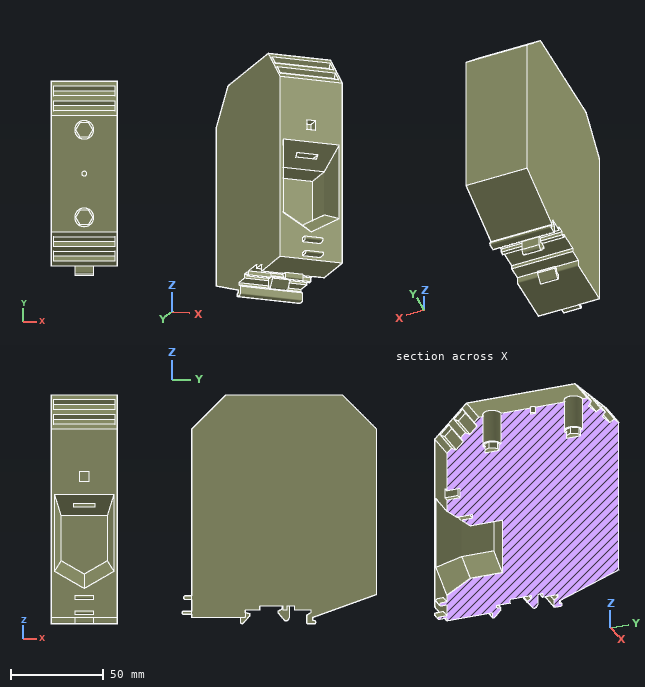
import cadquery as cq

WIDTH = 36.0
DEPTH = 100.0
HEIGHT = 123.9
CHAMFER = 18.5
UNDERSIDE_Z = 3.5
BACK_CORNER_Z = 15.9

RAIL_SEAT_Z = 7.4
RAIL_SEAT_FRONT = 29.1
RAIL_SEAT_BACK = 64.5
RELIEF_Z = 9.7
RELIEF_FRONT = 36.9
RELIEF_BACK = 55.6
SEAT_EDGE_RADIUS = 0.7

HOOK_FRONT = 62.2
HOOK_SHOULDER_Z = 4.8
HOOK_UNDERCUT_Z = 6.2
HOOK_NECK = 65.5
HOOK_NECK_Z = 2.0
HOOK_TOE = 67.2
HOOK_TOE_RADIUS = 1.0
HOOK_EDGE_RADIUS = 0.7

LATCH_WIDTH = 10.2
MIDDLE_LATCH_BACK = 53.0
MIDDLE_LATCH_FRONT = 49.0
MIDDLE_BARB_POINT = 46.6
FRONT_LATCH_FRONT = 26.4
FRONT_BARB_POINT = 31.5
RIB_FRONT = 49.3
RIB_BACK = 51.5

SLOT_MARGIN = 1.2
SLOT_HEIGHT = 7.3
SLOT_PITCH = 11.3
SLOT_FIRST_EDGE = 3.7
SLOT_DEPTH = 3.0
SLOT_TAPER = 0.7
SLOT_COUNT = 2

SCREW_SPACING = 47.3
SCREW_HOLE_DIAMETER = 10.2
SCREW_HOLE_DEPTH = 18.6
HEX_CORNER_DIAMETER = 9.2
HEX_DEPTH = 3.7
INDICATOR_DIAMETER = 2.6
INDICATOR_DEPTH = 3.7

WINDOW_WIDTH = 5.1
WINDOW_HEIGHT = 5.3
WINDOW_Z = 79.8
WINDOW_DEPTH = 7.4

TAPER_DEPTH = 13.6
SOCKET_DEPTH = 32.2
MOUTH_HALF_WIDTH = 16.1
MOUTH_TOP, MOUTH_CORNER, MOUTH_TIP = 70.1, 28.5, 19.2
BORE_HALF_WIDTH = 12.5
BORE_TOP, BORE_CORNER, BORE_TIP = 58.6, 34.2, 27.0
KEY_WIDTH = 11.9
KEY_HEIGHT = 1.9
KEY_Z = 64.3
KEY_END = 14.9

TONGUE_WIDTH = 10.2
UPPER_TONGUE_Z, UPPER_TONGUE_THICKNESS, UPPER_TONGUE_LENGTH = 14.3, 2.2, 4.3
LOWER_TONGUE_Z, LOWER_TONGUE_THICKNESS, LOWER_TONGUE_LENGTH = 6.1, 1.7, 5.2


def extrude_across(outline, width):
    """Extrude a (Y, Z) outline to the given width, centred on X = 0."""
    return outline.close().extrude(width / 2, both=True)


def box(width, y_start, y_end, z_start, z_end):
    """Block centred on X = 0."""
    size = (width, y_end - y_start, z_end - z_start)
    return cq.Workplane("XY").box(*size, centered=(True, False, False)).translate((0, y_start, z_start))


def housing():
    """Side profile with top chamfers, rail recess and fixed rear hook."""
    toe_start = HOOK_TOE - HOOK_TOE_RADIUS
    outline = (
        cq.Workplane("YZ")
        .moveTo(0, UNDERSIDE_Z)
        .lineTo(0, HEIGHT - CHAMFER)
        .lineTo(CHAMFER, HEIGHT)
        .lineTo(DEPTH - CHAMFER, HEIGHT)
        .lineTo(DEPTH, HEIGHT - CHAMFER)
        .lineTo(DEPTH, BACK_CORNER_Z)
        .lineTo(HOOK_NECK, UNDERSIDE_Z)
        .lineTo(HOOK_NECK, HOOK_NECK_Z)
        .lineTo(toe_start, 2 * HOOK_TOE_RADIUS)
        .threePointArc((HOOK_TOE, HOOK_TOE_RADIUS), (toe_start, 0))
        .lineTo(HOOK_FRONT + HOOK_EDGE_RADIUS, 0)
        .radiusArc((HOOK_FRONT, HOOK_EDGE_RADIUS), HOOK_EDGE_RADIUS)
        .lineTo(HOOK_FRONT, HOOK_SHOULDER_Z)
        .lineTo(RAIL_SEAT_BACK, HOOK_UNDERCUT_Z)
        .lineTo(RAIL_SEAT_BACK, RAIL_SEAT_Z)
        .lineTo(RELIEF_BACK, RAIL_SEAT_Z)
        .lineTo(RELIEF_BACK, RELIEF_Z)
        .lineTo(RELIEF_FRONT, RELIEF_Z)
        .lineTo(RELIEF_FRONT, RAIL_SEAT_Z)
        .lineTo(RAIL_SEAT_FRONT, RAIL_SEAT_Z)
        .lineTo(RAIL_SEAT_FRONT, UNDERSIDE_Z + SEAT_EDGE_RADIUS)
        .radiusArc((RAIL_SEAT_FRONT - SEAT_EDGE_RADIUS, UNDERSIDE_Z), SEAT_EDGE_RADIUS)
    )
    rib = box(WIDTH, RIB_FRONT, RIB_BACK, RAIL_SEAT_Z, RELIEF_Z)
    return extrude_across(outline, WIDTH).union(rib)


def middle_latch():
    """Barbed latch hanging from the relief."""
    outline = (
        cq.Workplane("YZ")
        .moveTo(MIDDLE_LATCH_BACK, RELIEF_Z)
        .lineTo(MIDDLE_LATCH_BACK, 3.6)
        .lineTo(52.4, 2.5)
        .threePointArc((51.2, 1.6), (50.0, 2.2))
        .lineTo(MIDDLE_BARB_POINT, 6.2)
        .lineTo(46.7, 7.0)
        .lineTo(MIDDLE_LATCH_FRONT, 8.2)
        .lineTo(MIDDLE_LATCH_FRONT, RELIEF_Z)
    )
    return extrude_across(outline, LATCH_WIDTH)


def front_latch():
    """Wedge-shaped latch in front of the rail."""
    outline = (
        cq.Workplane("YZ")
        .moveTo(FRONT_LATCH_FRONT, RAIL_SEAT_Z)
        .lineTo(FRONT_LATCH_FRONT, 0.9)
        .threePointArc((27.1, 0.1), (28.0, 0.5))
        .lineTo(FRONT_BARB_POINT, 4.3)
        .lineTo(FRONT_BARB_POINT, 5.6)
        .lineTo(RAIL_SEAT_FRONT, 6.2)
        .lineTo(RAIL_SEAT_FRONT, RAIL_SEAT_Z)
    )
    return extrude_across(outline, LATCH_WIDTH)


def tongue(z_middle, thickness, length):
    """Flat tongue on the front face with a fully rounded free end."""
    radius = thickness / 2
    outline = (
        cq.Workplane("YZ")
        .moveTo(0, z_middle + radius)
        .lineTo(radius - length, z_middle + radius)
        .threePointArc((-length, z_middle), (radius - length, z_middle - radius))
        .lineTo(0, z_middle - radius)
    )
    return extrude_across(outline, TONGUE_WIDTH)


def label_slots():
    """Slots in the front chamfer whose long walls converge towards the slot floor."""
    slope = cq.Plane(origin=(0, CHAMFER, HEIGHT), xDir=(0, -1, -1), normal=(1, 0, 0))
    slots = cq.Workplane(slope)
    for i in range(SLOT_COUNT):
        upper = SLOT_FIRST_EDGE + i * SLOT_PITCH
        lower = upper + SLOT_HEIGHT
        slots = (
            slots.moveTo(upper, 0)
            .lineTo(lower, 0)
            .lineTo(lower - SLOT_TAPER, SLOT_DEPTH)
            .lineTo(upper + SLOT_TAPER, SLOT_DEPTH)
            .close()
        )
    return slots.extrude(WIDTH / 2 - SLOT_MARGIN, both=True)


def top_holes():
    """Two screw holes with hexagon sockets in their floors, and a small indicator hole."""
    face = cq.Workplane("XY").workplane(offset=HEIGHT).center(0, DEPTH / 2)
    places = [(0, -SCREW_SPACING / 2), (0, SCREW_SPACING / 2)]
    screws = face.pushPoints(places).circle(SCREW_HOLE_DIAMETER / 2).extrude(-SCREW_HOLE_DEPTH)
    hexes = face.pushPoints(places).polygon(6, HEX_CORNER_DIAMETER).extrude(-SCREW_HOLE_DEPTH - HEX_DEPTH)
    indicator = face.circle(INDICATOR_DIAMETER / 2).extrude(-INDICATOR_DEPTH)
    return screws.union(hexes).union(indicator)


def pentagon(y, half_width, top, corner, tip):
    """Closed wire at the given Y: square top corners and a point at the bottom."""
    corners = [(-half_width, top), (half_width, top), (half_width, corner), (0, tip), (-half_width, corner)]
    return cq.Wire.makePolygon([cq.Vector(x, y, z) for x, z in corners], close=True)


def socket():
    """Tapered mouth and straight bore, with a flat key slot through the sloping roof of the mouth."""
    mouth = pentagon(0, MOUTH_HALF_WIDTH, MOUTH_TOP, MOUTH_CORNER, MOUTH_TIP)
    bore_start = pentagon(TAPER_DEPTH, BORE_HALF_WIDTH, BORE_TOP, BORE_CORNER, BORE_TIP)
    bore_end = pentagon(SOCKET_DEPTH, BORE_HALF_WIDTH, BORE_TOP, BORE_CORNER, BORE_TIP)
    taper = cq.Workplane(obj=cq.Solid.makeLoft([mouth, bore_start], True))
    bore = cq.Workplane(obj=cq.Solid.makeLoft([bore_start, bore_end], True))
    key = box(KEY_WIDTH, 0, KEY_END, KEY_Z - KEY_HEIGHT / 2, KEY_Z + KEY_HEIGHT / 2)
    return taper.union(bore).union(key)


window = box(WINDOW_WIDTH, 0, WINDOW_DEPTH, WINDOW_Z - WINDOW_HEIGHT / 2, WINDOW_Z + WINDOW_HEIGHT / 2)
front_slots = label_slots()
back_slots = front_slots.mirror("XZ", (0, DEPTH / 2, 0))

result = (
    housing()
    .union(middle_latch())
    .union(front_latch())
    .union(tongue(UPPER_TONGUE_Z, UPPER_TONGUE_THICKNESS, UPPER_TONGUE_LENGTH))
    .union(tongue(LOWER_TONGUE_Z, LOWER_TONGUE_THICKNESS, LOWER_TONGUE_LENGTH))
    .cut(front_slots)
    .cut(back_slots)
    .cut(top_holes())
    .cut(window)
    .cut(socket())
)